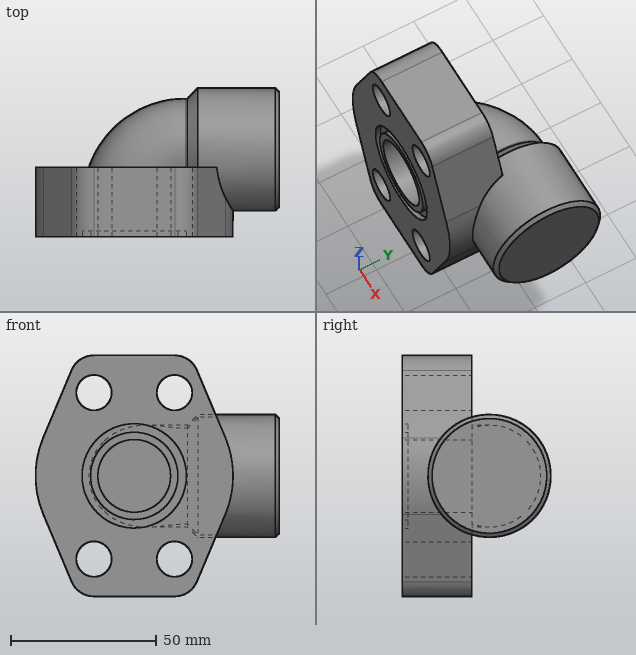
import cadquery as cq
import math

flange_thickness = 24.0
flange_half_width = 34.0
flange_height = 83.0
flange_half_height = flange_height / 2
corner_radius = 8.4
bolt_x = 13.8
bolt_z = 28.6
bolt_diameter = 12.1

bore_radius = 12.5
groove_inner_radius = 15.0
groove_outer_radius = 17.95
groove_depth = 2.0

outlet_axis_y = 30.0
pipe_radius = 17.5
bend_radius = 17.5
outlet_radius = 21.1
outlet_end_x = 49.9
cone_start_x = 18.2
outlet_chamfer = 1.4

cone_end_x = cone_start_x + outlet_radius - pipe_radius
bend_start_y = outlet_axis_y - bend_radius


def flange_outline():
    """Central arc joined to four corner arcs by common tangent lines."""
    corner_z = flange_half_height - corner_radius
    slope = (math.atan2(corner_z, bolt_x)
             - math.acos((flange_half_width - corner_radius) / math.hypot(bolt_x, corner_z)))

    def on_arc(center_x, center_z, radius, angle):
        return (center_x + radius * math.cos(angle), center_z + radius * math.sin(angle))

    side_x, side_z = on_arc(0, 0, flange_half_width, slope)
    low_x, low_z = on_arc(bolt_x, corner_z, corner_radius, slope)
    mid_x, mid_z = on_arc(bolt_x, corner_z, corner_radius, (slope + math.pi / 2) / 2)
    return (
        cq.Workplane("XZ")
        .moveTo(side_x, -side_z)
        .threePointArc((flange_half_width, 0), (side_x, side_z))
        .lineTo(low_x, low_z)
        .threePointArc((mid_x, mid_z), (bolt_x, flange_half_height))
        .lineTo(-bolt_x, flange_half_height)
        .threePointArc((-mid_x, mid_z), (-low_x, low_z))
        .lineTo(-side_x, side_z)
        .threePointArc((-flange_half_width, 0), (-side_x, -side_z))
        .lineTo(-low_x, -low_z)
        .threePointArc((-mid_x, -mid_z), (-bolt_x, -flange_half_height))
        .lineTo(bolt_x, -flange_half_height)
        .threePointArc((mid_x, -mid_z), (low_x, -low_z))
        .close()
    )


def flange():
    plate = flange_outline().extrude(-flange_thickness)
    holes = (
        cq.Workplane("XZ")
        .rect(2 * bolt_x, 2 * bolt_z, forConstruction=True)
        .vertices()
        .circle(bolt_diameter / 2)
        .extrude(-flange_thickness)
    )
    return plate.cut(holes)


def bend():
    """Quarter torus from the inlet axis (+Y) to the outlet axis (+X)."""
    return (
        cq.Workplane("XZ", origin=(0, bend_start_y, 0))
        .circle(pipe_radius)
        .revolve(90, (bend_radius, 0.8, 0), (bend_radius, -0.8, 0))
    )


def outlet():
    """Short neck, cone and chamfered socket turned about the outlet axis."""
    return (
        cq.Workplane("XY", origin=(0, outlet_axis_y, 0))
        .moveTo(bend_radius, 0)
        .lineTo(bend_radius, pipe_radius)
        .lineTo(cone_start_x, pipe_radius)
        .lineTo(cone_end_x, outlet_radius)
        .lineTo(outlet_end_x - outlet_chamfer, outlet_radius)
        .lineTo(outlet_end_x, outlet_radius - outlet_chamfer)
        .lineTo(outlet_end_x, 0)
        .close()
        .revolve(360, (0, 0, 0), (1, 0, 0))
    )


def bore():
    """Blind flat-bottomed inlet bore, as deep as the flange is thick."""
    return cq.Workplane("XZ").circle(bore_radius).extrude(-flange_thickness)


def seal_groove():
    return (
        cq.Workplane("XZ")
        .circle(groove_outer_radius)
        .circle(groove_inner_radius)
        .extrude(-groove_depth)
    )


body = flange().union(bend()).union(outlet())
result = body.cut(bore()).cut(seal_groove())